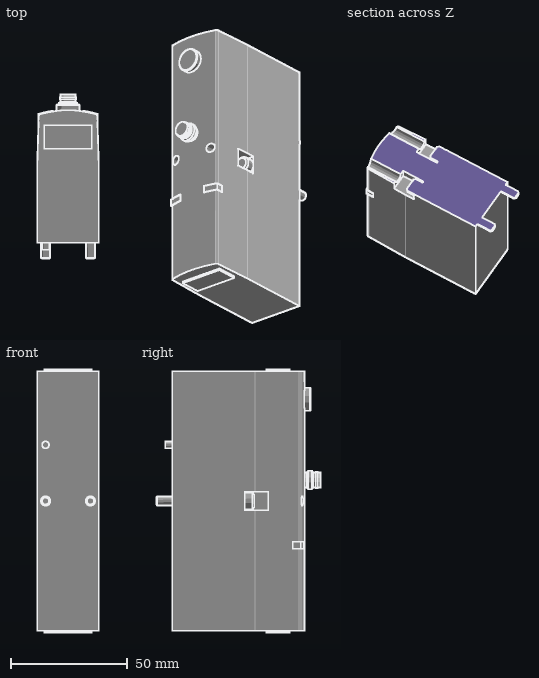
import cadquery as cq

BODY_WIDTH = 26.3
BODY_HEIGHT = 111.0
BACK_WIDTH = 25.1
TAPER_START_Y = 35.3
CORNER_Y = 54.8
BACK_Y = 56.7
CORNER_RADIUS = 1.0

PLATE_WIDTH = 20.3
PLATE_DEPTH = 10.0
PLATE_THICKNESS = 0.75
PLATE_CENTRE_Y = 45.3

SCREW_X = 9.6
SCREW_DIAMETER = 4.0
SCREW_LENGTH = 6.8
SCREW_CHAMFER = 0.5
HEAD_DIAMETER = 7.0
HEAD_CHAMFER = 0.8
HEAD_TOP_Y = 35.1
POCKET_HEIGHT = 8.0
POCKET_FRONT_Y = 31.0
POCKET_BACK_Y = 41.0
POCKET_FLOOR_X = SCREW_X - POCKET_HEIGHT / 2
DRIVER_HOLE_DIAMETER = 4.0

LOCATOR_DIAMETER = 3.0
LOCATOR_LENGTH = 3.0
LOCATOR_Z = 24.0
LOCATOR_ROOT_Y = 5.0

BUTTON_DIAMETER = 10.0
BUTTON_Z = 43.5
BUTTON_END_Y = 59.2
BUTTON_CHAMFER = 0.3

PLUG_Z = 9.0
PLUG_END_Y = 63.5
PLUG_DIAMETER = 6.5
RING_DIAMETER = 6.9
RING_FRONT_Y = 61.4
RING_BACK_Y = 62.3
COLLAR_DIAMETER = 8.0
COLLAR_FRONT_Y = 57.5
COLLAR_BACK_Y = 60.4
COLLAR_CHAMFER = (COLLAR_DIAMETER - PLUG_DIAMETER) / 2

CLIP_Z = -19.0
CLIP_HEIGHT = 3.0
CLIP_OUTER_X = 12.8
CLIP_INNER_X = 6.5
CLIP_FRONT_Y = 51.6
CLIP_THICKNESS = 0.3

ROOT_Y = BACK_Y - 5.0


def cylinder_along_y(x, z, diameter, y_start, y_end):
    plane = cq.Plane(origin=(x, y_start, z), xDir=(1, 0, 0), normal=(0, 1, 0))
    return cq.Workplane(plane).circle(diameter / 2).extrude(y_end - y_start)


def block(x_range, y_range, z_centre, height):
    width = x_range[1] - x_range[0]
    depth = y_range[1] - y_range[0]
    centre = (sum(x_range) / 2, sum(y_range) / 2, z_centre)
    return cq.Workplane("XY").box(width, depth, height).translate(centre)


def make_housing():
    half = BODY_WIDTH / 2
    back_half = BACK_WIDTH / 2
    return (
        cq.Workplane("XY", origin=(0, 0, -BODY_HEIGHT / 2))
        .moveTo(-half, 0)
        .lineTo(half, 0)
        .lineTo(half, TAPER_START_Y)
        .lineTo(back_half, CORNER_Y)
        .threePointArc((0, BACK_Y), (-back_half, CORNER_Y))
        .lineTo(-half, TAPER_START_Y)
        .close()
        .extrude(BODY_HEIGHT)
        .edges("|Z")
        .edges(">Y")
        .fillet(CORNER_RADIUS)
    )


def make_plates():
    height = BODY_HEIGHT + 2 * PLATE_THICKNESS
    return cq.Workplane("XY").box(PLATE_WIDTH, PLATE_DEPTH, height).translate((0, PLATE_CENTRE_Y, 0))


def make_pocket(side):
    floor = side * POCKET_FLOOR_X
    opening = side * BODY_WIDTH / 2
    x_range = (min(floor, opening), max(floor, opening))
    pocket = block(x_range, (POCKET_FRONT_Y, POCKET_BACK_Y), 0, POCKET_HEIGHT)
    hole = cylinder_along_y(side * SCREW_X, 0, DRIVER_HOLE_DIAMETER, POCKET_FRONT_Y, BACK_Y)
    return pocket.union(hole)


def make_screw(side):
    x = side * SCREW_X
    shank = cylinder_along_y(x, 0, SCREW_DIAMETER, -SCREW_LENGTH, POCKET_FRONT_Y)
    shank = shank.faces("<Y").chamfer(SCREW_CHAMFER)
    head = cylinder_along_y(x, 0, HEAD_DIAMETER, POCKET_FRONT_Y, HEAD_TOP_Y)
    return shank.union(head.faces(">Y").chamfer(HEAD_CHAMFER))


def make_locator():
    return cylinder_along_y(-SCREW_X, LOCATOR_Z, LOCATOR_DIAMETER, -LOCATOR_LENGTH, LOCATOR_ROOT_Y)


def make_button():
    button = cylinder_along_y(0, BUTTON_Z, BUTTON_DIAMETER, ROOT_Y, BUTTON_END_Y)
    return button.faces(">Y").chamfer(BUTTON_CHAMFER)


def make_plug():
    barrel = cylinder_along_y(0, PLUG_Z, PLUG_DIAMETER, ROOT_Y, PLUG_END_Y)
    ring = cylinder_along_y(0, PLUG_Z, RING_DIAMETER, RING_FRONT_Y, RING_BACK_Y)
    collar = cylinder_along_y(0, PLUG_Z, COLLAR_DIAMETER, COLLAR_FRONT_Y, COLLAR_BACK_Y)
    collar = collar.faces("<Y or >Y").chamfer(COLLAR_CHAMFER)
    return barrel.union(ring).union(collar)


def make_clip(side):
    """Corner block trimmed to a cylinder just outside the rounded back."""
    arc_half = BACK_WIDTH / 2
    rise = BACK_Y - CORNER_Y
    back_radius = (arc_half**2 + rise**2) / (2 * rise)
    inner = side * CLIP_INNER_X
    outer = side * CLIP_OUTER_X
    x_range = (min(inner, outer), max(inner, outer))
    corner = block(x_range, (CLIP_FRONT_Y, BACK_Y + CLIP_THICKNESS), CLIP_Z, CLIP_HEIGHT)
    limit = (
        cq.Workplane("XY", origin=(0, BACK_Y - back_radius, CLIP_Z - CLIP_HEIGHT / 2))
        .circle(back_radius + CLIP_THICKNESS)
        .extrude(CLIP_HEIGHT)
    )
    return corner.intersect(limit)


result = make_housing().union(make_plates())
for side in (-1, 1):
    result = result.cut(make_pocket(side))
    result = result.union(make_screw(side))
    result = result.union(make_clip(side))
result = result.union(make_locator())
result = result.union(make_button()).union(make_plug())